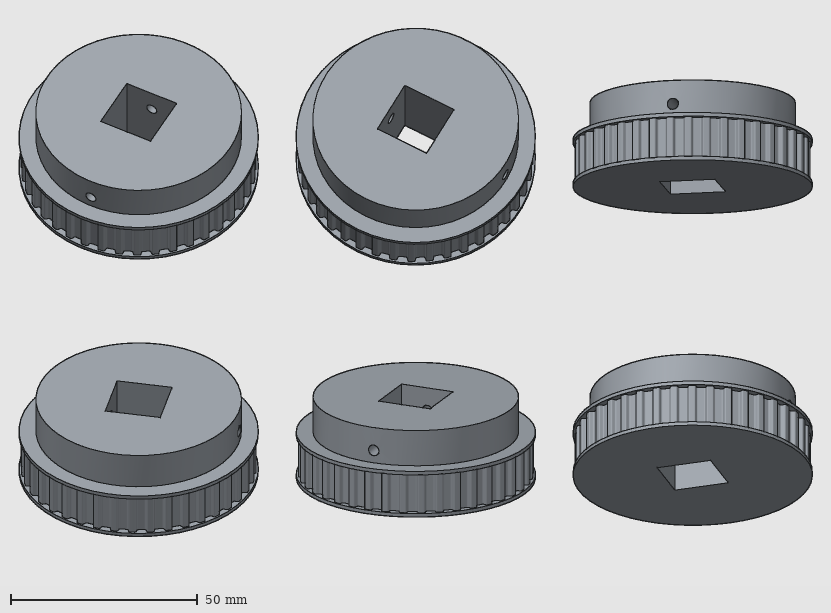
import cadquery as cq
import math

flange_diameter = 64.0
flange_thickness = 1.0
total_height = 23.0

hub_diameter = 55.0
hub_height = 10.0

bore_side = 15.05
screw_hole_diameter = 3.0
screw_hole_rise = 3.5

tooth_count = 40
tooth_tip_diameter = 62.85
groove_depth = 1.2
groove_floor_width = 1.65
groove_edge_radius = 0.43
groove_wall_angle = 18.0

body_height = total_height - hub_height
rim_height = body_height - 2 * flange_thickness
tooth_pitch_angle = 360.0 / tooth_count
tip_radius = tooth_tip_diameter / 2


def disc(diameter, height, base_z):
    return cq.Workplane("XY").workplane(offset=base_z).circle(diameter / 2).extrude(height)


def groove_cutter():
    """One belt groove on the +X side, with rounded tips and roots."""
    wall_tilt = math.radians(groove_wall_angle)
    arc_sweep = math.pi / 2 - wall_tilt
    arc_width = groove_edge_radius * math.sin(arc_sweep)
    arc_depth = groove_edge_radius * (1 - math.cos(arc_sweep))
    mid_width = groove_edge_radius * math.sin(arc_sweep / 2)
    mid_depth = groove_edge_radius * (1 - math.cos(arc_sweep / 2))
    wall_width = (groove_depth - 2 * arc_depth) * math.tan(wall_tilt)

    floor_y = groove_floor_width / 2
    mouth_y = floor_y + 2 * arc_width + wall_width
    mouth_x = math.sqrt(tip_radius**2 - mouth_y**2)
    floor_x = mouth_x - groove_depth
    outside_x = flange_diameter / 2

    half_profile = (
        cq.Workplane("XY")
        .workplane(offset=flange_thickness)
        .moveTo(outside_x, 0)
        .lineTo(outside_x, mouth_y)
        .lineTo(mouth_x, mouth_y)
        .threePointArc(
            (mouth_x - mid_depth, mouth_y - mid_width),
            (mouth_x - arc_depth, mouth_y - arc_width),
        )
        .lineTo(floor_x + arc_depth, floor_y + arc_width)
        .threePointArc((floor_x + mid_depth, floor_y + mid_width), (floor_x, floor_y))
        .lineTo(floor_x, 0)
    )
    return half_profile.mirrorX().extrude(rim_height)


def toothed_rim():
    """Rim between the flanges, with a tooth centred on the +X axis."""
    rim = disc(tooth_tip_diameter, rim_height, flange_thickness)
    cutter = groove_cutter().val()
    grooves = []
    for index in range(tooth_count):
        angle = (index + 0.5) * tooth_pitch_angle
        grooves.append(cutter.rotate((0, 0, 0), (0, 0, 1), angle))
    return rim.cut(cq.Workplane(cq.Compound.makeCompound(grooves)))


def square_bore():
    return cq.Workplane("XY").rect(bore_side, bore_side).extrude(total_height)


def screw_hole():
    """Hole along Y that crosses the whole hub."""
    return (
        cq.Workplane("XZ")
        .center(0, body_height + screw_hole_rise)
        .circle(screw_hole_diameter / 2)
        .extrude(hub_diameter / 2, both=True)
    )


lower_flange = disc(flange_diameter, flange_thickness, 0)
upper_flange = disc(flange_diameter, flange_thickness, body_height - flange_thickness)
hub = disc(hub_diameter, hub_height, body_height)

pulley = toothed_rim().union(lower_flange).union(upper_flange).union(hub)
result = pulley.cut(square_bore()).cut(screw_hole())